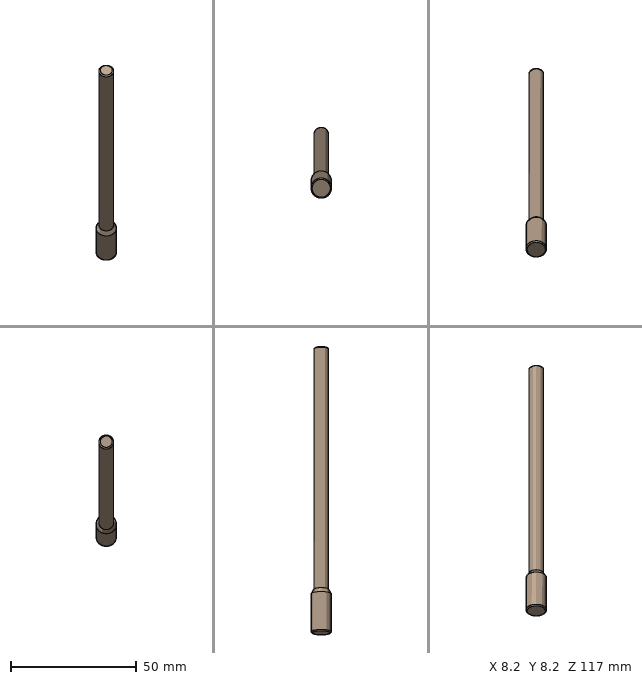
import cadquery as cq

total_length = 117.0
head_diameter = 8.2
rod_diameter = 6.0

head_cylinder_top = 16.0
cone_height = 1.9
bottom_chamfer = 0.5

rod_chamfer_width = 0.6
rod_chamfer_height = 0.5

head_radius = head_diameter / 2
rod_radius = rod_diameter / 2
head_top = head_cylinder_top + cone_height


def revolve_about_z(outline):
    """Turn a closed outline of (radius, height) points around the Z axis."""
    return cq.Workplane("XZ").polyline(outline).close().revolve(360, (0, 0, 0), (0, 1, 0))


def make_head():
    """Thick lower head whose conical shoulder ends at the rod diameter."""
    return revolve_about_z([
        (0, 0),
        (head_radius - bottom_chamfer, 0),
        (head_radius, bottom_chamfer),
        (head_radius, head_cylinder_top),
        (rod_radius, head_top),
        (0, head_top),
    ])


def make_rod():
    """Long plain rod standing on the flat top of the head."""
    return revolve_about_z([
        (0, head_top),
        (rod_radius, head_top),
        (rod_radius, total_length - rod_chamfer_height),
        (rod_radius - rod_chamfer_width, total_length),
        (0, total_length),
    ])


head = make_head()
rod = make_rod()

result = cq.Compound.makeCompound([head.val(), rod.val()])